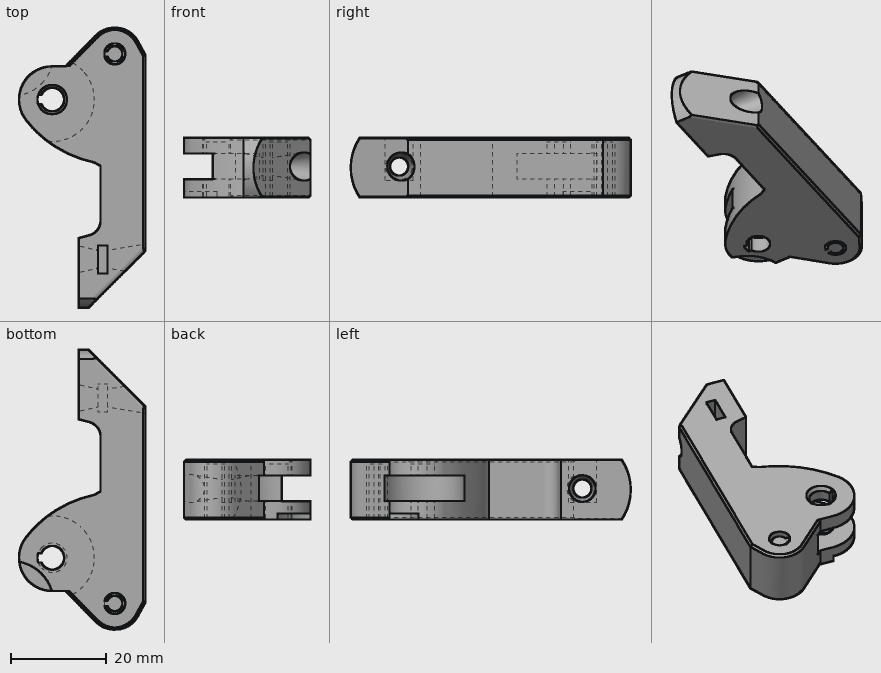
import cadquery as cq
import math

LENGTH = 58.5
WIDTH = 26.45
HEIGHT = 12.5

LOBE_RADIUS = 6.95
LOBE_FLAT_END_X = 2.8
PIVOT_HOLE_DIA = 4.9
PIVOT_CONE_DIA = 6.15
CONE_DEPTH = 0.9
KEYWAY_WIDTH = 1.9

TIP_X = 13.05
TIP_Y = 9.55
TIP_RADIUS = 5.5
TIP_HOLE_DIA = 4.3
PIN_DIA = 3.3
PIN_RECESS = 0.9
PIN_WEB_WIDTH = 1.15

RIGHT_X = WIDTH - LOBE_RADIUS
TOP_Y = TIP_Y + TIP_RADIUS
BOTTOM_Y = TOP_Y - LENGTH
RIGHT_TOP_Y = 9.25
RIGHT_BOTTOM_Y = -31.55
NECK_X = 10.05
NECK_TOP_Y = -13.85
FOOT_X = 5.5
FOOT_TIP_X = RIGHT_X - (RIGHT_BOTTOM_Y - BOTTOM_Y)
SHOULDER_Y = -28.9
SHOULDER_ANGLE = 15.0
SHOULDER_FILLET = 3.1
FOOT_END_SAGITTA = 1.95
EDGE_CHAMFER = 0.5
FOOT_BEVEL_INSET = 0.7
FOOT_BEVEL_RISE = 0.205

BELLY_START_Y = -4.15
BELLY_MID = (0.5, -9.75)
BELLY_END = (8.8, -13.15)

SLOT_RADIUS = 8.8
SLOT_FLOOR_Z = 3.85
SLOT_HEIGHT = 5.3

RELIEF_RADIUS = 8.8
RELIEF_X = -8.5
RELIEF_Y = 9.5
RELIEF_DEPTH = 1.3

BORE_Y = -33.35
BORE_Z = 6.5
BORE_DIA = 3.75
BORE_LEFT_DIA = 5.55
BORE_RIGHT_DIA = 5.8
NUT_X = 10.55
NUT_THICKNESS = 2.0
NUT_WIDTH = 5.85


def tangent_point(point, side):
    """Point where a line from `point` touches the tip circle; side is +1 or -1."""
    dx = point[0] - TIP_X
    dy = point[1] - TIP_Y
    angle = math.atan2(dy, dx) + side * math.acos(TIP_RADIUS / math.hypot(dx, dy))
    return (TIP_X + TIP_RADIUS * math.cos(angle), TIP_Y + TIP_RADIUS * math.sin(angle))


def disc(x, y, diameter, z, height):
    """Upright cylinder standing on height z."""
    return cq.Workplane("XY", origin=(x, y, z)).circle(diameter / 2).extrude(height)


def x_cone(x_start, dia_start, x_end, dia_end):
    """Conical plug on the bore axis."""
    return (
        cq.Workplane("YZ", origin=(x_start, BORE_Y, BORE_Z))
        .circle(dia_start / 2)
        .workplane(offset=x_end - x_start)
        .circle(dia_end / 2)
        .loft()
    )


def make_plate():
    """Extruded outline with the edges of the tip and the right side chamfered."""
    flat_end = (LOBE_FLAT_END_X, LOBE_RADIUS)
    right_top = (RIGHT_X, RIGHT_TOP_Y)
    belly_start = (-math.sqrt(LOBE_RADIUS**2 - BELLY_START_Y**2), BELLY_START_Y)
    shoulder_rise = (NECK_X - FOOT_X) * math.tan(math.radians(SHOULDER_ANGLE))
    plate = (
        cq.Workplane("XY")
        .moveTo(0, LOBE_RADIUS)
        .lineTo(*flat_end)
        .lineTo(*tangent_point(flat_end, -1))
        .threePointArc((TIP_X, TOP_Y), tangent_point(right_top, 1))
        .lineTo(*right_top)
        .lineTo(RIGHT_X, RIGHT_BOTTOM_Y)
        .lineTo(FOOT_TIP_X, BOTTOM_Y)
        .lineTo(FOOT_X, BOTTOM_Y)
        .lineTo(FOOT_X, SHOULDER_Y)
        .lineTo(NECK_X, SHOULDER_Y + shoulder_rise)
        .lineTo(NECK_X, NECK_TOP_Y)
        .lineTo(*BELLY_END)
        .threePointArc(BELLY_MID, belly_start)
        .threePointArc((-LOBE_RADIUS, 0), (0, LOBE_RADIUS))
        .close()
        .extrude(HEIGHT)
    )
    shoulder_corner = cq.NearestToPointSelector((NECK_X, SHOULDER_Y + shoulder_rise, HEIGHT / 2))
    plate = plate.edges("|Z").edges(shoulder_corner).fillet(SHOULDER_FILLET)

    def is_outer(edge):
        center = edge.Center()
        above_lobe = center.y > LOBE_RADIUS + EDGE_CHAMFER
        return above_lobe or center.x > RIGHT_X - EDGE_CHAMFER

    return plate.faces("<Z or >Z").edges().filter(is_outer).chamfer(EDGE_CHAMFER)


def make_foot_bevel(z_face, inward):
    """Wedge along the slanted foot edge; inward is the Z direction into the plate."""
    edge = cq.Vector(RIGHT_X - FOOT_TIP_X, RIGHT_BOTTOM_Y - BOTTOM_Y, 0)
    outward = edge.cross(cq.Vector(0, 0, 1)).normalized()
    plane = cq.Plane(origin=(FOOT_TIP_X, BOTTOM_Y, 0), xDir=outward, normal=-edge)
    wedge = [
        (-FOOT_BEVEL_INSET, z_face),
        (0, z_face + inward * FOOT_BEVEL_RISE),
        (0, z_face),
    ]
    return cq.Workplane(plane).polyline(wedge).close().extrude(edge.Length, both=True)


def round_foot_end(body):
    """Keep only what lies inside a profile whose foot end is an arc about X."""
    corner_y = BOTTOM_Y + FOOT_END_SAGITTA
    profile = (
        cq.Workplane("YZ", origin=(-LOBE_RADIUS, 0, 0))
        .moveTo(TOP_Y, 0)
        .lineTo(corner_y, 0)
        .threePointArc((BOTTOM_Y, HEIGHT / 2), (corner_y, HEIGHT))
        .lineTo(TOP_Y, HEIGHT)
        .close()
        .extrude(WIDTH)
    )
    return body.intersect(profile)


def make_pivot_cut():
    """Through hole with a flared mouth and a keyway on the -X side."""
    mouth = (
        cq.Workplane("XY", origin=(0, 0, HEIGHT - CONE_DEPTH))
        .circle(PIVOT_HOLE_DIA / 2)
        .workplane(offset=CONE_DEPTH)
        .circle(PIVOT_CONE_DIA / 2)
        .loft()
    )
    keyway = (
        cq.Workplane("XY")
        .rect(PIVOT_CONE_DIA, KEYWAY_WIDTH)
        .extrude(HEIGHT)
        .translate((-PIVOT_CONE_DIA / 2, 0, 0))
        .intersect(disc(0, 0, PIVOT_CONE_DIA, 0, HEIGHT))
    )
    return disc(0, 0, PIVOT_HOLE_DIA, 0, HEIGHT).union(mouth).union(keyway)


def make_tip_cut():
    """Ring gap around a recessed pin that one web on the -X side holds."""
    pin_height = HEIGHT - PIN_RECESS
    web = (
        cq.Workplane("XY", origin=(TIP_X - TIP_HOLE_DIA / 2, TIP_Y, 0))
        .rect(TIP_HOLE_DIA, PIN_WEB_WIDTH)
        .extrude(pin_height)
    )
    pin = disc(TIP_X, TIP_Y, PIN_DIA, 0, pin_height)
    return disc(TIP_X, TIP_Y, TIP_HOLE_DIA, 0, HEIGHT).cut(pin).cut(web)


def make_bore_cut():
    """Nut pocket open at the top, with a flared bore on each side."""
    pocket_left = NUT_X - NUT_THICKNESS / 2
    pocket_right = NUT_X + NUT_THICKNESS / 2
    exit_x = RIGHT_X - (RIGHT_BOTTOM_Y - BORE_Y)
    flare_slope = (BORE_RIGHT_DIA - BORE_DIA) / (exit_x - pocket_right)
    outside_dia = BORE_DIA + flare_slope * (RIGHT_X - pocket_right)
    pocket_floor = BORE_Z - NUT_WIDTH / 2
    pocket = (
        cq.Workplane("XY", origin=(NUT_X, BORE_Y, pocket_floor))
        .rect(NUT_THICKNESS, NUT_WIDTH)
        .extrude(HEIGHT - pocket_floor)
    )
    left_flare = x_cone(FOOT_X, BORE_LEFT_DIA, pocket_left, BORE_DIA)
    right_flare = x_cone(pocket_right, BORE_DIA, RIGHT_X, outside_dia)
    return pocket.union(left_flare).union(right_flare)


result = round_foot_end(make_plate())
result = result.cut(make_foot_bevel(0, 1))
result = result.cut(make_foot_bevel(HEIGHT, -1))
result = result.cut(disc(0, 0, 2 * SLOT_RADIUS, SLOT_FLOOR_Z, SLOT_HEIGHT))
result = result.cut(disc(RELIEF_X, RELIEF_Y, 2 * RELIEF_RADIUS, 0, RELIEF_DEPTH))
result = result.cut(make_pivot_cut())
result = result.cut(make_tip_cut())
result = result.cut(make_bore_cut())